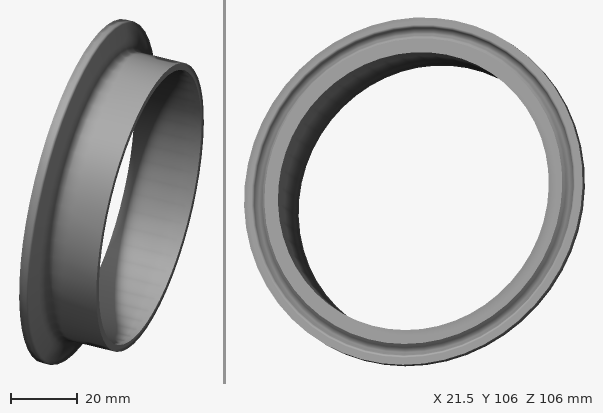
import cadquery as cq
import math

length = 21.5
flange_radius = 53.0
tube_radius = 44.5
bore_radius = 42.4

rim_width = 2.9
cone_angle = math.radians(20)
rim_rounding = 0.7
neck_rounding = 2.0

groove_inner_radius = 46.6
groove_outer_radius = 50.8
groove_wall_depth = 1.0
groove_wall_angle = math.radians(45)
groove_lip_rounding = 0.8

cone_end = rim_width + (flange_radius - tube_radius) * math.tan(cone_angle)
groove_wall_end = groove_inner_radius + groove_wall_depth / math.tan(groove_wall_angle)


def rounded_corner(profile, x, radius, rounding):
    """Draw up to a rim or neck corner and round it onto the adjoining line.

    At the rim (flange radius) the cylinder comes first; at the neck the cone does.
    """
    setback = rounding * math.tan((math.pi / 2 - cone_angle) / 2)
    along_x = (setback, 0)
    along_cone = (setback * math.sin(cone_angle), -setback * math.cos(cone_angle))
    if radius == flange_radius:
        start = (x - along_x[0], radius)
        end = (x + along_cone[0], radius + along_cone[1])
    else:
        start = (x - along_cone[0], radius - along_cone[1])
        end = (x + along_x[0], radius)
    return profile.lineTo(*start).tangentArcPoint(end, relative=False)


def groove_lip_start():
    """Point where the groove bottom meets the lip.

    The bottom arc is tangent to the inner wall at its end and to the lip circle.
    """
    normal_x = -math.sin(groove_wall_angle)
    normal_r = math.cos(groove_wall_angle)
    offset_x = groove_wall_depth - groove_lip_rounding
    offset_r = groove_wall_end - groove_outer_radius
    offset_squared = offset_x**2 + offset_r**2
    offset_along_normal = offset_x * normal_x + offset_r * normal_r
    bottom_rounding = (offset_squared - groove_lip_rounding**2) / (
        2 * (groove_lip_rounding - offset_along_normal)
    )
    share = groove_lip_rounding / (groove_lip_rounding + bottom_rounding)
    touch_x = groove_lip_rounding + share * (offset_x + bottom_rounding * normal_x)
    touch_r = groove_outer_radius + share * (offset_r + bottom_rounding * normal_r)
    return (touch_x, touch_r)


def ferrule_profile():
    """Half section in the XZ plane, with Z as the radius."""
    profile = (
        cq.Workplane("XZ")
        .moveTo(0, bore_radius)
        .lineTo(0, groove_inner_radius)
        .lineTo(groove_wall_depth, groove_wall_end)
        .tangentArcPoint(groove_lip_start(), relative=False)
        .tangentArcPoint((0, groove_outer_radius), relative=False)
        .lineTo(0, flange_radius)
    )
    profile = rounded_corner(profile, rim_width, flange_radius, rim_rounding)
    profile = rounded_corner(profile, cone_end, tube_radius, neck_rounding)
    return profile.lineTo(length, tube_radius).lineTo(length, bore_radius).close()


result = ferrule_profile().revolve(360, (0, 0, 0), (1, 0, 0))